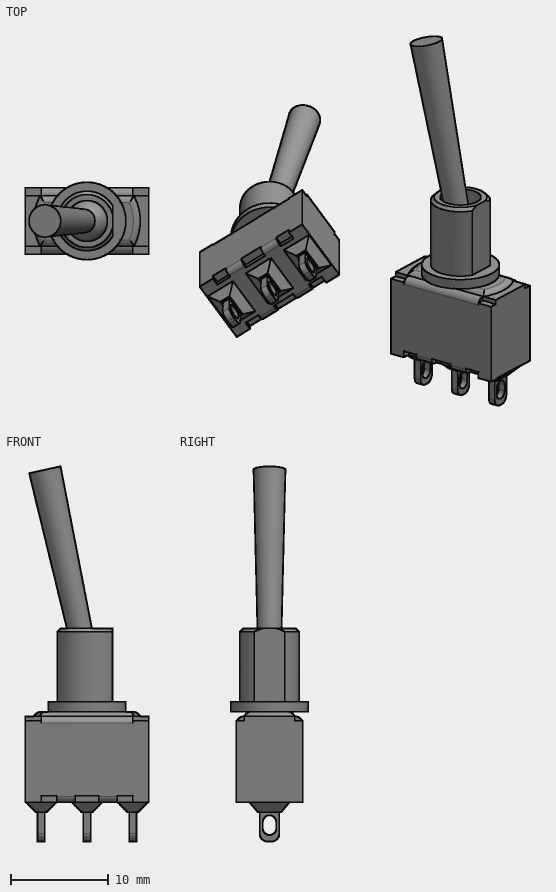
import cadquery as cq
import math

case_length = 12.7
case_width = 6.85
end_ridge_width = 5.2
end_ridge_top = 8.85
end_shoulder_top = 8.37
cover_length = 9.4
cover_side_top = 8.2
cover_shoulder_radius = 0.85
bottom_round = 0.6

crown_top = 9.3
crown_flat_width = 3.55
crown_base_radius = 5.48
crown_flat_radius = 4.7
crown_round = 0.85

washer_diameter = 8.0
washer_thickness = 1.05
bushing_diameter = 6.15
bushing_top = 17.85
bushing_chamfer = 0.35
bushing_flat = 2.62
bore_diameter = 4.2

total_height = 38.6
pivot_height = 14.3
lever_tilt = 12.3
lever_root_diameter = 2.35
lever_tip_diameter = 3.3

terminal_pitch = cover_length / 2
terminal_drop = 4.05
terminal_thickness = 0.77
terminal_width = 2.05
terminal_corner = 0.85
eyelet_width = 1.35
eyelet_height = 2.0
eyelet_depth = 2.35

seal_length = 3.13
seal_width = 4.13
seal_tip_length = 1.15
seal_tip_width = 2.45
seal_height = 1.0

recess_height = 0.7
centre_recess_length = 2.4
end_recess_start = 3.13


def box(length, width, bottom, top, x=0):
    """Box centred on Y = 0 between two heights."""
    block = cq.Workplane("XY").box(length, width, top - bottom, centered=(True, True, False))
    return block.translate((x, 0, bottom))


def extrude_along_x(section, length):
    """Extrude a YZ section symmetrically about X = 0."""
    return section.extrude(length / 2, both=True)


def make_case():
    half_width = case_width / 2
    half_ridge = end_ridge_width / 2
    section = (
        cq.Workplane("YZ")
        .moveTo(-half_width + bottom_round, 0)
        .lineTo(half_width - bottom_round, 0)
        .radiusArc((half_width, bottom_round), -bottom_round)
        .lineTo(half_width, cover_side_top)
        .radiusArc((half_ridge, end_ridge_top), -cover_shoulder_radius)
        .lineTo(-half_ridge, end_ridge_top)
        .radiusArc((-half_width, cover_side_top), -cover_shoulder_radius)
        .lineTo(-half_width, bottom_round)
        .radiusArc((-half_width + bottom_round, 0), -bottom_round)
        .close()
    )
    case = extrude_along_x(section, cover_length)

    end_recess_length = cover_length / 2 - end_recess_start
    end_recess_x = end_recess_start + end_recess_length / 2
    recesses = box(centre_recess_length, case_width, 0, recess_height)
    for side in (-1, 1):
        recesses = recesses.union(box(end_recess_length, case_width, 0, recess_height, side * end_recess_x))
    core = box(cover_length, end_ridge_width, 0, recess_height)
    case = case.cut(recesses.cut(core))

    end_length = (case_length - cover_length) / 2
    for side in (-1, 1):
        end_x = side * (cover_length + end_length) / 2
        case = case.union(box(end_length, case_width, 0, end_shoulder_top, end_x))
        case = case.union(box(end_length, end_ridge_width, 0, end_ridge_top, end_x))
    return case


def make_crown():
    """Low crown: a round-edged ridge along X trimmed by a round-edged disc."""
    half_base = end_ridge_width / 2
    half_flat = crown_flat_width / 2
    ridge_section = (
        cq.Workplane("YZ")
        .moveTo(-half_base, end_ridge_top)
        .lineTo(half_base, end_ridge_top)
        .radiusArc((half_flat, crown_top), -crown_round)
        .lineTo(-half_flat, crown_top)
        .radiusArc((-half_base, end_ridge_top), -crown_round)
        .close()
    )
    ridge = extrude_along_x(ridge_section, case_length)
    disc = (
        cq.Workplane("XZ")
        .moveTo(0, end_ridge_top)
        .lineTo(crown_base_radius, end_ridge_top)
        .radiusArc((crown_flat_radius, crown_top), -crown_round)
        .lineTo(0, crown_top)
        .close()
        .revolve(360, (0, 0, 0), (0, 1, 0))
    )
    return ridge.intersect(disc)


def make_bushing():
    """Washer and bushing, with a bore down to the pivot of the lever."""
    washer_top = crown_top + washer_thickness
    washer = cq.Workplane("XY", origin=(0, 0, crown_top)).circle(washer_diameter / 2)
    washer = washer.extrude(washer_thickness)
    sleeve = (
        cq.Workplane("XY", origin=(0, 0, washer_top))
        .circle(bushing_diameter / 2)
        .extrude(bushing_top - washer_top)
        .faces(">Z")
        .chamfer(bushing_chamfer)
    )
    flat_x = bushing_flat - bushing_diameter / 2
    flat_limit = box(bushing_diameter, bushing_diameter, washer_top, bushing_top, flat_x)
    bore = cq.Workplane("XY", origin=(0, 0, pivot_height)).circle(bore_diameter / 2)
    bore = bore.extrude(bushing_top - pivot_height)
    return washer.union(sleeve.intersect(flat_limit)).cut(bore)


def make_lever():
    tilt = math.radians(lever_tilt)
    root_radius = lever_root_diameter / 2
    tip_radius = lever_tip_diameter / 2
    highest_point = total_height - terminal_drop
    length = (highest_point - tip_radius * math.sin(tilt) - pivot_height) / math.cos(tilt)
    rod = (
        cq.Workplane("XZ")
        .polyline([(0, 0), (root_radius, 0), (tip_radius, length), (0, length)])
        .close()
        .revolve(360, (0, 0, 0), (0, 1, 0))
        .rotate((0, 0, 0), (0, 1, 0), -lever_tilt)
        .translate((0, 0, pivot_height))
    )
    ball = cq.Workplane("XY").sphere(bore_diameter / 2, angle1=0)
    return rod.union(ball.translate((0, 0, pivot_height)))


def make_terminal():
    """Flat solder lug with an eyelet, set in a tapered seal."""
    lug = (
        box(terminal_thickness, terminal_width, -terminal_drop, 0)
        .edges("|X and <Z")
        .fillet(terminal_corner)
    )
    eyelet = cq.Workplane("YZ").center(0, -eyelet_depth).slot2D(eyelet_height, eyelet_width, 90)
    lug = lug.cut(extrude_along_x(eyelet, terminal_thickness))
    seal = (
        cq.Workplane("XY")
        .rect(seal_length, seal_width)
        .workplane(offset=-seal_height)
        .rect(seal_tip_length, seal_tip_width)
        .loft()
    )
    return lug.union(seal)


result = make_case().union(make_crown()).union(make_bushing()).union(make_lever())
terminal = make_terminal()
for position in (-1, 0, 1):
    result = result.union(terminal.translate((position * terminal_pitch, 0, 0)))